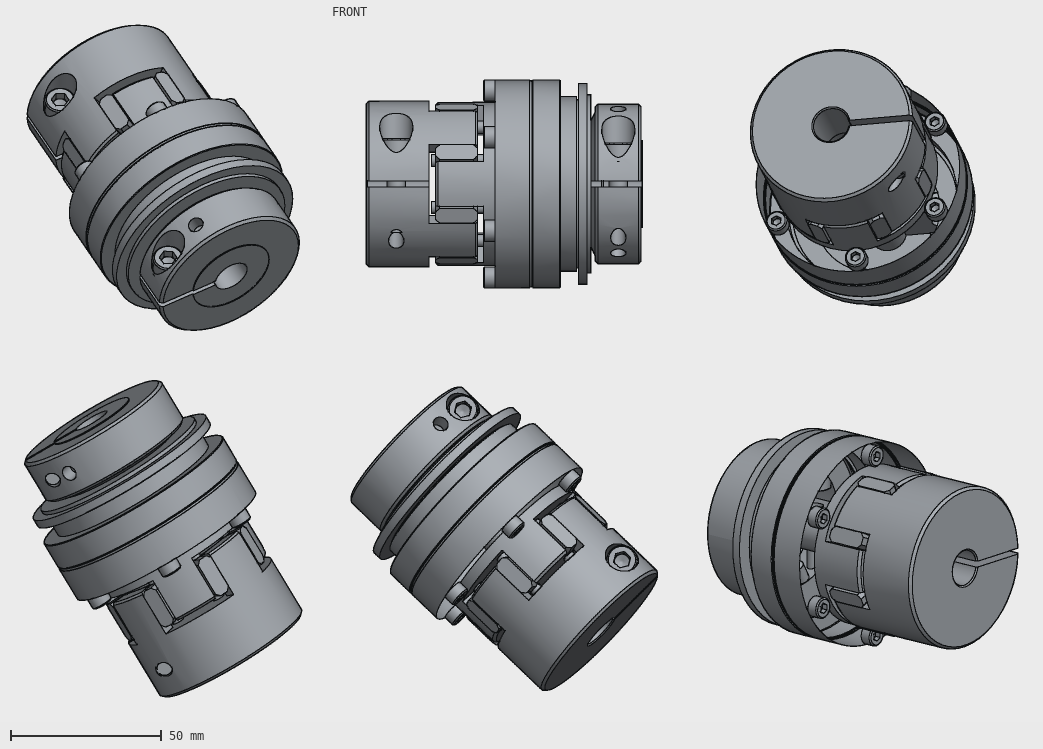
import cadquery as cq
import math


bore_d = 12.0
bore_chamfer = 0.5
relief_d = 13.45
slit_width = 2.0

hub_d = 55.0
hub_length = 20.9
hub_chamfer = 0.9
hub_jaw_end = 37.0
hub_jaw_chamfer = 0.7
hub_jaw_half_angle = 16.7
hub_jaw_inner_r = 21.0

disc_d = 54.2
disc_start = 38.8
disc_jaw_start = 23.0
disc_jaw_chamfer = 0.9
disc_jaw_inner_r = 16.2
jaw_count = 4
disc_jaw_half_angle = 16.0

leg_width = 5.3
leg_outer_r = 27.6
leg_chamfer = 1.4
spider_bore_d = 23.15
nub_d = 4.0
nub_circle_r = 20.3
nub_height = 1.4

flange_start = 42.7
flange_d = 69.0
groove_start = 54.2
groove_end = 55.3
groove_depth = 0.3
seam_start = 54.9
seam_depth = 0.55
flange_end = 64.3
flange_chamfer = 0.3
collar_d = 58.0
collar_end = 69.7
gap_d = 55.8
plate_start = 70.3
plate_d = 66.6
plate_end = 73.2
step_d = 59.2
step_end = 74.5

neck_start_d = 42.1
neck_end_d = 47.6
ring_start = 75.85
ring_d = 53.0
ring_end = 91.1
ring_chamfer = 0.9
lip_d = 28.7
overall_length = 91.5
relief_end = 78.0

clamp_head_d = 10.0
clamp_head_height = 6.0
clamp_socket = 5.0
clamp_shank_d = 6.0
clamp_thread_d = 5.0
clamp_pocket_d = 11.0
hub_screw_x = 10.0
hub_screw_y = -19.95
hub_screw_seat = 9.0
hub_screw_length = 25.0
ring_screw_x = 83.5
ring_screw_y = -19.5
ring_screw_seat = 7.5
ring_screw_length = 20.0

flange_screw_count = 6
flange_head_d = 7.0
flange_head_height = flange_start - disc_start
flange_socket = 3.0
flange_shank_d = 4.0
flange_shank_length = 8.0
flange_screw_circle_r = flange_d / 2 - flange_head_d / 2

head_chamfer = 0.5
socket_depth_ratio = 0.5
point_half_angle = 60.0

radial_hole_d = 5.0
radial_hole_depth = 5.95
radial_hole_tilts = (20.0, 150.0)

jaw_pitch = 360.0 / jaw_count
leg_count = 2 * jaw_count
leg_pitch = jaw_pitch / 2
X_AXIS = ((0, 0, 0), (1, 0, 0))


def cylinder_x(diameter, start, end):
    """Solid cylinder on the X axis."""
    return cq.Workplane("YZ").workplane(offset=start).circle(diameter / 2).extrude(end - start)


def cone_x(start_d, end_d, start, end):
    """Solid truncated cone on the X axis."""
    outline = [(start, 0), (start, start_d / 2), (end, end_d / 2), (end, 0)]
    return cq.Workplane("XY").polyline(outline).close().revolve(360, *X_AXIS)


def turn_x(body, angle):
    """Turn a body about the X axis, angle in degrees."""
    return body.rotate(*X_AXIS, angle)


def sector_tool(half_angle, inner_r, reach, start, end):
    """Wedge with radial sides, centred on +Y, open from inner_r outwards."""
    slope = math.tan(math.radians(half_angle))
    outline = [
        (inner_r, -inner_r * slope),
        (reach, -reach * slope),
        (reach, reach * slope),
        (inner_r, inner_r * slope),
    ]
    return cq.Workplane("YZ").workplane(offset=start).polyline(outline).close().extrude(end - start)


def jaws(blank, half_angle, inner_r, start, end, first_angle):
    """Evenly spaced jaws cut out of a round blank."""
    wedge = sector_tool(half_angle, inner_r, flange_d / 2, start, end)
    body = cq.Workplane("XY")
    for i in range(jaw_count):
        jaw = blank.intersect(turn_x(wedge, first_angle + i * jaw_pitch))
        body = body.add(jaw)
    return body.combine()


def socket_screw(head_d, head_height, socket, shank_d, shank_length):
    """Socket head screw along Z, underside of the head at Z = 0, head upwards."""
    corner_d = socket / math.cos(math.radians(30))
    socket_floor = head_height * (1 - socket_depth_ratio)
    cone_depth = socket / 2 / math.tan(math.radians(point_half_angle))
    head = cq.Workplane("XY").circle(head_d / 2).extrude(head_height).faces(">Z").chamfer(head_chamfer)
    hexagon = (
        cq.Workplane("XY").workplane(offset=socket_floor)
        .polygon(6, corner_d).extrude(head_height)
    )
    cone_outline = [(0, socket_floor), (socket / 2, socket_floor), (0, socket_floor - cone_depth)]
    cone = cq.Workplane("XZ").polyline(cone_outline).close().revolve(360, (0, 0, 0), (0, 1, 0))
    shank = cq.Workplane("XY").circle(shank_d / 2).extrude(-shank_length)
    return head.cut(hexagon).cut(cone).union(shank)


def slit(start, end):
    """Clamping slit from the bore out through the -Y side."""
    return cq.Workplane("XY").box(
        end - start, hub_d, slit_width, centered=(False, False, True)
    ).translate((start, -hub_d, 0))


def add_clamp_screw(body, x, y, seat, length):
    """Pocket, threaded hole and screw across the slit."""
    pocket = cq.Workplane("XY", origin=(x, y, seat)).circle(clamp_pocket_d / 2).extrude(hub_d)
    thread = cq.Workplane("XY", origin=(x, y, seat)).circle(clamp_thread_d / 2).extrude(-hub_d)
    screw = socket_screw(clamp_head_d, clamp_head_height, clamp_socket, clamp_shank_d, length)
    return body.cut(pocket).cut(thread).union(screw.translate((x, y, seat)))


def clamping_hub():
    body = cylinder_x(hub_d, 0, hub_length).faces("<X").chamfer(hub_chamfer)
    blank = cylinder_x(hub_d, 0, hub_jaw_end).faces(">X").chamfer(hub_jaw_chamfer)
    body = body.union(
        jaws(blank, hub_jaw_half_angle, hub_jaw_inner_r, hub_length, hub_jaw_end, jaw_pitch / 2)
    )
    body = body.cut(cylinder_x(bore_d, 0, hub_length))
    body = body.cut(cone_x(bore_d + 2 * bore_chamfer, bore_d, 0, bore_chamfer))
    body = body.cut(slit(0, hub_length))
    return add_clamp_screw(body, hub_screw_x, hub_screw_y, hub_screw_seat, hub_screw_length)


def jaw_disc():
    body = cylinder_x(disc_d, disc_start, flange_start)
    blank = cylinder_x(disc_d, disc_jaw_start, disc_start).faces("<X").chamfer(disc_jaw_chamfer)
    body = body.union(
        jaws(blank, disc_jaw_half_angle, disc_jaw_inner_r, disc_jaw_start, disc_start, 0)
    )
    return body.cut(cylinder_x(bore_d, disc_start, flange_start))


def spider():
    length = hub_jaw_end - disc_jaw_start
    body = cylinder_x(2 * hub_jaw_inner_r, disc_jaw_start, hub_jaw_end)
    body = body.cut(cylinder_x(spider_bore_d, disc_jaw_start, hub_jaw_end))
    leg_height = leg_outer_r - disc_jaw_inner_r
    leg = (
        cq.Workplane("XY").box(length, leg_height, leg_width, centered=(False, False, True))
        .edges("|Y").chamfer(leg_chamfer)
        .translate((disc_jaw_start, disc_jaw_inner_r, 0))
    )
    nub = (
        cylinder_x(nub_d, disc_jaw_start - nub_height, disc_start)
        .translate((0, nub_circle_r, 0))
    )
    for i in range(leg_count):
        angle = (i + 0.5) * leg_pitch
        body = body.union(turn_x(leg, angle)).union(turn_x(nub, angle))
    return body


def flange_stack():
    body = cylinder_x(flange_d, flange_start, groove_start)
    rear_flange = cylinder_x(flange_d, groove_end, flange_end).faces(">X").chamfer(flange_chamfer)
    body = body.union(rear_flange)
    for diameter, start, end in (
        (flange_d - 2 * groove_depth, groove_start, seam_start),
        (flange_d - 2 * seam_depth, seam_start, groove_end),
        (collar_d, flange_end, collar_end),
        (gap_d, collar_end, plate_start),
        (plate_d, plate_start, plate_end),
        (step_d, plate_end, step_end),
    ):
        body = body.union(cylinder_x(diameter, start, end))
    screw = socket_screw(
        flange_head_d, flange_head_height, flange_socket, flange_shank_d, flange_shank_length
    )
    screw = screw.rotate((0, 0, 0), (0, 1, 0), -90).translate((flange_start, 0, flange_screw_circle_r))
    for i in range(flange_screw_count):
        body = body.union(turn_x(screw, i * 360.0 / flange_screw_count))
    return body.cut(cylinder_x(relief_d, flange_start, step_end))


def radial_drill():
    """Drill with a pointed tip, reaching into the clamping ring from +Z."""
    floor = ring_d / 2 - radial_hole_depth
    tip = radial_hole_d / 2 / math.tan(math.radians(point_half_angle))
    outline = [
        (0, floor - tip),
        (radial_hole_d / 2, floor),
        (radial_hole_d / 2, ring_d),
        (0, ring_d),
    ]
    tool = cq.Workplane("XZ").polyline(outline).close().revolve(360, (0, 0, 0), (0, 1, 0))
    return tool.translate((ring_screw_x, 0, 0))


def clamping_ring():
    body = cylinder_x(ring_d, ring_start, ring_end).faces("<X or >X").chamfer(ring_chamfer)
    body = body.union(cone_x(neck_start_d, neck_end_d, step_end, ring_start))
    body = body.union(cylinder_x(lip_d, ring_end, overall_length))
    taper = (relief_d - bore_d) / 2
    body = body.cut(cylinder_x(bore_d, step_end, overall_length))
    body = body.cut(cylinder_x(relief_d, step_end, relief_end))
    body = body.cut(cone_x(relief_d, bore_d, relief_end, relief_end + taper))
    body = body.cut(slit(step_end, overall_length))
    for tilt in radial_hole_tilts:
        drill = radial_drill().rotate(*X_AXIS, tilt)
        body = body.cut(drill)
    return add_clamp_screw(body, ring_screw_x, ring_screw_y, ring_screw_seat, ring_screw_length)


result = clamping_hub().union(spider()).union(jaw_disc()).union(flange_stack()).union(clamping_ring())